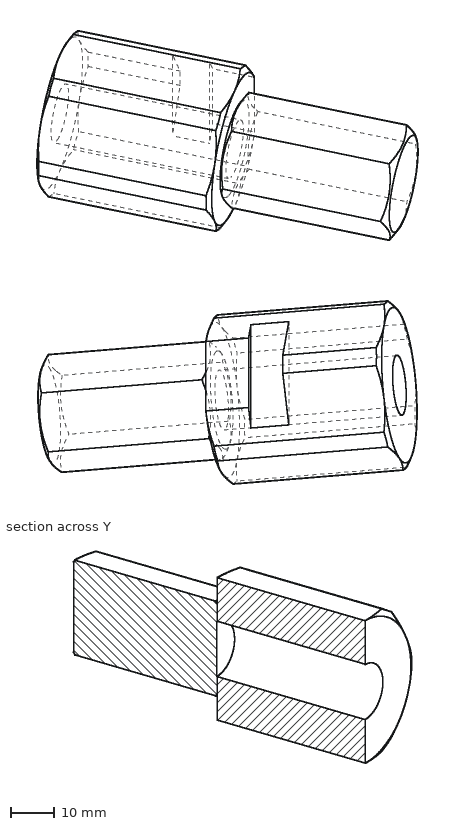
import cadquery as cq
import math

total_length = 83.0
housing_length = 42.2
housing_flats = 36.0
housing_corner_span = 39.0
housing_face_dia = housing_flats
bore_dia = 13.9

land_height = 15.85
notch_height = 13.45
notch_start = 23.1
notch_end = 32.0

stud_length = total_length - housing_length
stud_flats = 24.0
stud_face_dia = 22.8

chamfer_angle = 30.0
half_sector = 30.0


def corner_span(flats):
    """Distance across the sharp corners of a hexagon."""
    return flats / math.cos(math.radians(half_sector))


def hex_prism(flats, start, length):
    """Hexagonal bar along +X, with flats facing +Z and -Z."""
    return cq.Workplane("YZ", origin=(start, 0, 0)).polygon(6, corner_span(flats)).extrude(length)


def twelve_sided_bar(flats, trimmed_span, length):
    """Hexagonal bar whose six corners are trimmed to flats by a second, turned hexagon."""
    trimmer = hex_prism(trimmed_span, 0, length).rotate((0, 0, 0), (1, 0, 0), half_sector)
    return hex_prism(flats, 0, length).intersect(trimmer)


def cone_ended_blank(span, face_dia, start, length):
    """Round blank whose coned ends narrow to face_dia, used to chamfer the ends of a hexagon."""
    outer_radius = span / 2
    face_radius = face_dia / 2
    cone_length = (outer_radius - face_radius) * math.tan(math.radians(chamfer_angle))
    end = start + length
    return (
        cq.Workplane("XY")
        .moveTo(start, 0)
        .lineTo(start, face_radius)
        .lineTo(start + cone_length, outer_radius)
        .lineTo(end - cone_length, outer_radius)
        .lineTo(end, face_radius)
        .lineTo(end, 0)
        .close()
        .revolve(360, (0, 0, 0), (1, 0, 0))
    )


def corner_cut(start, end, floor):
    """Block that removes everything beyond Y = floor between two X positions."""
    return (
        cq.Workplane("XY")
        .box(end - start, housing_corner_span, 2 * housing_flats, centered=(False, False, True))
        .translate((start, floor, 0))
    )


def make_housing():
    body = twelve_sided_bar(housing_flats, housing_corner_span, housing_length)
    body = body.intersect(cone_ended_blank(corner_span(housing_flats), housing_face_dia, 0, housing_length))
    bore = cq.Workplane("YZ").circle(bore_dia / 2).extrude(housing_length)
    land = corner_cut(notch_end, housing_length, land_height)
    notch = corner_cut(notch_start, notch_end, notch_height)
    return body.cut(bore).cut(land).cut(notch)


def make_stud():
    blank = cone_ended_blank(corner_span(stud_flats), stud_face_dia, housing_length, stud_length)
    return hex_prism(stud_flats, housing_length, stud_length).intersect(blank)


housing = make_housing()
stud = make_stud()

result = cq.Compound.makeCompound([housing.val(), stud.val()])